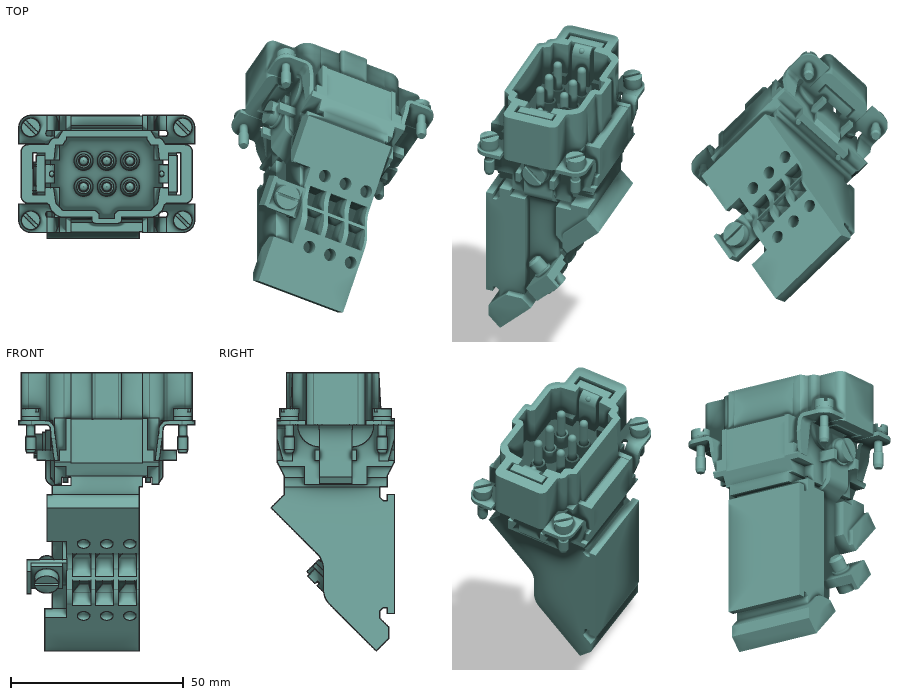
import cadquery as cq
import math

OVERLAP = 0.1
ROOT2 = math.sqrt(2)

HOOD_TOP_Z = 15.1
TOTAL_HEIGHT = 80.52
BOTTOM_Z = HOOD_TOP_Z - TOTAL_HEIGHT
BACK_Y = 17.0
FRONT_TIP_Y = -18.73

HOOD_HALF_X = 24.8
HOOD_END_Y = 8.5
HOOD_SIDE_Y = 12.5
HOOD_WALL = 1.9
HOOD_CORNER_R = 2.1
KEY_OUT_Y = -14.29
KEY_HALF_X = 4.3
KEY_CORNER_R = 0.95
KEY_IN_HALF_X = 2.3
KEY_IN_Y = -12.9
FLOOR_Z = 2.0
POCKET_X = (17.9, 21.4)
POCKET_HALF_Y = 6.05
PASSAGE_HALF_Y = 4.0
PASSAGE_IN_X = 14.5
INNER_LEDGE = (13.6, 15.6)
INNER_LEDGE_Z = 5.0

PIN_PITCH = 6.7
PIN_ROW_Y = 3.75
PIN_D = 2.5
PIN_TIP_Z = 14.8
COLLAR_D = 5.5
COLLAR_TOP_D = 4.0
COLLAR_BORE_D = 2.92
COLLAR_TOP_Z = 5.7

BODY_HALF_X = 15.05
POST_X = (10.4, 11.86)
POST_TOP_Z = 1.9
SLAB_TOP_Z = -10.3
SLAB_EDGE_Z = -10.7
SLAB_CHAMFER_Z = -14.75
SLAB_BOTTOM_Z = -15.2
NECK_Y = -14.92
PANEL_Y = (14.05, 16.8)
PANEL_TOP_Z = 1.65
RIB_X = 16.25
END_WALL_HALF_Y = 9.05
END_WALL_IN_X = 13.05
RIB_HALF_Y = 4.65
LUG_X = 20.2
LUG_TOP_Z = -7.3
END_WALL_BOTTOM_Z = -17.2
CORNER_NOTCH_Z = -12.0
STEP_LEDGE_X = 13.7
STEP_LEDGE_Z = -7.2

FLANGE_HALF_X = 25.5
FLANGE_T = 1.2
FLANGE_IN_Y = 8.7
FLANGE_BEND_X = 17.4
FLANGE_CORNER_R = 3.7
FLANGE_LEG_X = 14.0
RELIEF_Y = (10.9, 12.5)
RELIEF_X = (15.1, 17.65)

SCREW_X = 22.0
SCREW_Y = 13.45
SCREW_HEAD_D = 5.5
SCREW_HEAD_TOP_Z = 4.7
WASHER_D = 5.34
WASHER_TOP_Z = 2.4
SCREW_NECK_D = 2.45
SCREW_THREAD_D = 3.0
SCREW_TIP_D = 2.3
SLOT_W = 1.0
SLOT_DEPTH = 1.0

BLOCK_RIGHT_X = 9.44
BLOCK_LEFT_X = -11.64
COVER_LEFT_X = -15.8
NOSE_LEFT_X = -17.3
NOSE_HEEL_Y = -8.9
FOOT_LEFT_X = -18.0
BLOCK_TOP_Z = -17.5
NECK_BOTTOM_Z = -17.9
RECESS_Y = -3.56
RECESS_R = 6.0
FOOT_TIP_Y = 11.74
FOOT_BACK_Y = 15.4
FOOT_TOE_Y = 2.1
FOOT_TOP_Z = -53.15
UPPER_SUM = -42.7
LOWER_SUM = FOOT_TIP_Y + BOTTOM_Z
CHANNEL_HALF_Y = 4.9
CHANNEL_TOP_Z = -19.4
RAIL_Y = 12.8
RAIL_LIP_Y = 14.9
RAIL_TOP_Z = (-20.1, -21.9)
RAIL_LOW_Z = (-52.9, -54.6)
RAIL_SLANT_Y = 13.75
RAIL_FOOT_Z = -56.0

UPPER_FACE = -UPPER_SUM / ROOT2
LOWER_FACE = -LOWER_SUM / ROOT2
ENTRY_XS = (-7.25, -0.6, 6.05)
ENTRY_W = 5.25
UPPER_ENTRY_OUT = 25.95
LOWER_ENTRY_OUT = 32.7
THROAT_DEPTH = 3.1
SCREW_HOLE_XS = (-PIN_PITCH, 0, PIN_PITCH)
SCREW_HOLE_D = 3.6
SCREW_HOLE_DEPTH = 5.0
UPPER_HOLE_RISE = -18.5
LOWER_HOLE_RISE = -40.2

STRAP_HALF_Y = 4.4
STRAP_OUT_X = -17.7
STRAP_T = 1.5
STRAP_TOP_Z = -1.5
STRAP_LOW_X = -12.85
EARTH_SCREW_Z = -6.1
CLAMP_X = -17.37
CLAMP_LEFT_X = -23.1
CLAMP_RISE = -28.65
CLAMP_SIZE = 9.1
CLAMP_BACK = 31.0
CLAMP_FRONT = 35.9
CLAMP_PLATE_T = 1.3


def box(x0, x1, y0, y1, z0, z1):
    """Box between two limits on each axis."""
    return cq.Workplane("XY").box(x1 - x0, y1 - y0, z1 - z0, centered=False).translate((x0, y0, z0))


def both_ends(solid):
    """Solid together with its mirror image at the other X end."""
    return solid.union(solid.mirror("YZ"))


def both_sides(solid):
    """Solid together with its mirror image at the other Y side."""
    return solid.union(solid.mirror("XZ"))


def profile_x(points, x0, x1):
    """Closed (y, z) outline extruded from x0 to x1."""
    return cq.Workplane("YZ").polyline(points).close().extrude(x1 - x0).translate((x0, 0, 0))


def profile_y(points, y0, y1):
    """Closed (x, z) outline extruded from y0 to y1."""
    return cq.Workplane("XZ").polyline(points).close().extrude(y0 - y1).translate((0, y0, 0))


def tilted(out=0.0):
    """Workplane parallel to the angled faces: local x = X, local y climbs the face, normal points out."""
    plane = cq.Plane(origin=(0, 0, 0), xDir=(1, 0, 0), normal=(0, -1, -1))
    return cq.Workplane(plane).workplane(offset=out)


def tilted_box(x0, x1, rise0, rise1, out0, out1):
    """Box square to the angled faces."""
    centre = ((x0 + x1) / 2, (rise0 + rise1) / 2)
    return tilted(out0).center(*centre).rect(x1 - x0, rise1 - rise0).extrude(out1 - out0)


def hood_outline():
    """Outer outline of the hood, left half."""
    corner = HOOD_CORNER_R * (1 - 1 / ROOT2)
    flat_y = HOOD_END_Y - HOOD_CORNER_R
    flat_x = HOOD_HALF_X - HOOD_CORNER_R
    key_corner = KEY_CORNER_R * (1 - 1 / ROOT2)
    key_arc_mid = (key_corner - KEY_HALF_X, KEY_OUT_Y + key_corner)
    return (
        cq.Workplane("XY")
        .moveTo(0, HOOD_SIDE_Y)
        .lineTo(-12.8, HOOD_SIDE_Y)
        .lineTo(-13.6, 11.1)
        .lineTo(-14.1, 10.45)
        .lineTo(-15.1, 10.45)
        .threePointArc((-16.0, 10.0), (-16.6, 9.1))
        .lineTo(-17.0, HOOD_END_Y)
        .lineTo(-flat_x, HOOD_END_Y)
        .threePointArc((corner - HOOD_HALF_X, HOOD_END_Y - corner), (-HOOD_HALF_X, flat_y))
        .lineTo(-HOOD_HALF_X, -flat_y)
        .threePointArc((corner - HOOD_HALF_X, corner - HOOD_END_Y), (-flat_x, -HOOD_END_Y))
        .lineTo(-17.5, -HOOD_END_Y)
        .threePointArc((-16.9, -8.75), (-16.5, -9.4))
        .threePointArc((-15.2, -11.5), (-12.4, -HOOD_SIDE_Y))
        .lineTo(-KEY_HALF_X, -HOOD_SIDE_Y)
        .lineTo(-KEY_HALF_X, KEY_OUT_Y + KEY_CORNER_R)
        .threePointArc(key_arc_mid, (KEY_CORNER_R - KEY_HALF_X, KEY_OUT_Y))
        .lineTo(0, KEY_OUT_Y)
        .close()
    )


def side_draft():
    """Thin wedge on each long wall that thickens the hood towards the body."""
    foot_y = HOOD_SIDE_Y + 0.8
    root_y = HOOD_SIDE_Y - OVERLAP
    outline = [(root_y, 0), (foot_y, 0), (HOOD_SIDE_Y, HOOD_TOP_Z), (root_y, HOOD_TOP_Z)]
    return both_sides(profile_x(outline, -POST_X[0], POST_X[0]))


def hood_cavity():
    inner_y = HOOD_SIDE_Y - HOOD_WALL
    half = [
        (11.7, inner_y), (11.7, 9.9), (12.7, 8.4), (14.8, 8.4),
        (15.25, PASSAGE_HALF_Y), (15.4, -PASSAGE_HALF_Y), (14.7, -HOOD_END_Y), (12.7, -inner_y),
        (KEY_IN_HALF_X + 1, -inner_y), (KEY_IN_HALF_X, -inner_y - 0.9), (KEY_IN_HALF_X, KEY_IN_Y),
    ]
    outline = half + [(-x, y) for x, y in reversed(half)]
    height = HOOD_TOP_Z - FLOOR_Z
    return cq.Workplane("XY", origin=(0, 0, FLOOR_Z)).polyline(outline).close().extrude(height)


def hood():
    shell = both_ends(hood_outline().extrude(HOOD_TOP_Z)).union(side_draft())
    shell = shell.cut(hood_cavity())
    pocket = box(*POCKET_X, -POCKET_HALF_Y, POCKET_HALF_Y, -FLANGE_T, HOOD_TOP_Z)
    passage = box(PASSAGE_IN_X, POCKET_X[0], -PASSAGE_HALF_Y, PASSAGE_HALF_Y, FLOOR_Z, HOOD_TOP_Z)
    well = box(RIB_X, POCKET_X[0], -PASSAGE_HALF_Y, PASSAGE_HALF_Y, -FLANGE_T, HOOD_TOP_Z)
    shell = shell.cut(both_ends(pocket.union(passage).union(well)))
    ledge_back = box(*INNER_LEDGE, PASSAGE_HALF_Y, HOOD_END_Y, 0, INNER_LEDGE_Z)
    ledge_front = box(*INNER_LEDGE, -9.5, -PASSAGE_HALF_Y, 0, INNER_LEDGE_Z)
    return shell.union(both_ends(ledge_back.union(ledge_front)))


def latch_springs():
    """Latch plate in each end pocket with a rounded spring tongue hanging into the cavity."""
    plate_x, plate_half_y, plate_top = 20.4, 5.25, HOOD_TOP_Z - 0.3
    tongue_half_y, tongue_x, sheet, bend_r = 2.65, 15.1, 0.6, 2.6
    start_x = POCKET_X[0] - OVERLAP
    plate = box(start_x, plate_x, -plate_half_y, plate_half_y, 0, plate_top)
    tongue_top = plate_top - 0.3
    blank = box(tongue_x, start_x + 2 * OVERLAP, -tongue_half_y, tongue_half_y, 0, tongue_top)
    blank = blank.edges("|Y and >Z and <X").fillet(bend_r)
    inside = box(tongue_x + sheet, start_x, -tongue_half_y, tongue_half_y, 0, tongue_top - sheet)
    inside = inside.edges("|Y and >Z and <X").fillet(bend_r - sheet)
    dimple_r = 0.9
    bend_offset = bend_r / ROOT2
    dimple_x = tongue_x + bend_r - bend_offset
    dimple_z = tongue_top - bend_r + bend_offset
    dimple = cq.Workplane("XY").sphere(dimple_r).translate((dimple_x + 0.2, 0, dimple_z - 0.2))
    return both_ends(plate.union(blank.cut(inside)).union(dimple))


def contact_pins():
    pin = cq.Workplane("XY").circle(PIN_D / 2).extrude(PIN_TIP_Z).faces(">Z").edges().fillet(PIN_D / 2 - 0.05)
    base = cq.Workplane("XY").circle(COLLAR_D / 2).extrude(FLOOR_Z)
    cone_height = COLLAR_TOP_Z - FLOOR_Z
    cone = (
        cq.Workplane("XY", origin=(0, 0, FLOOR_Z)).circle(COLLAR_D / 2)
        .workplane(offset=cone_height).circle(COLLAR_TOP_D / 2).loft()
    )
    bore = cq.Workplane("XY", origin=(0, 0, FLOOR_Z)).circle(COLLAR_BORE_D / 2).extrude(cone_height)
    contact = base.union(cone).cut(bore).union(pin)
    pins = cq.Workplane("XY")
    for x in (-PIN_PITCH, 0, PIN_PITCH):
        for y in (-PIN_ROW_Y, PIN_ROW_Y):
            pins = pins.union(contact.translate((x, y, 0)))
    return pins


def insert_body():
    core_y = HOOD_SIDE_Y + OVERLAP / 2
    core = box(-BODY_HALF_X, BODY_HALF_X, -core_y, core_y, SLAB_TOP_Z, FLOOR_Z)
    half_slab = [
        (0, SLAB_TOP_Z), (BACK_Y, SLAB_TOP_Z), (BACK_Y, SLAB_EDGE_Z),
        (-NECK_Y, SLAB_CHAMFER_Z), (-NECK_Y, SLAB_BOTTOM_Z), (0, SLAB_BOTTOM_Z),
    ]
    slab = both_sides(profile_x(half_slab, -BODY_HALF_X, BODY_HALF_X))
    panel_relief = both_sides(box(-POST_X[0], POST_X[0], PANEL_Y[1], BACK_Y, SLAB_BOTTOM_Z, SLAB_TOP_Z))
    slab = slab.cut(panel_relief)
    notch = box(POST_X[1], BODY_HALF_X, END_WALL_HALF_Y, BACK_Y, SLAB_BOTTOM_Z, CORNER_NOTCH_Z)
    slab = slab.cut(both_ends(both_sides(notch)))
    end_wall_y = (-END_WALL_HALF_Y, END_WALL_HALF_Y)
    end_wall = box(END_WALL_IN_X, BODY_HALF_X, *end_wall_y, END_WALL_BOTTOM_Z, SLAB_TOP_Z)
    inner_wall = box(POST_X[1], END_WALL_IN_X, *end_wall_y, SLAB_BOTTOM_Z, SLAB_TOP_Z)
    post = box(*POST_X, HOOD_SIDE_Y - OVERLAP, BACK_Y, SLAB_TOP_Z, POST_TOP_Z)
    ledge = box(POST_X[1], STEP_LEDGE_X, HOOD_SIDE_Y - OVERLAP, BACK_Y, SLAB_TOP_Z, STEP_LEDGE_Z)
    stub_d, stub_length = 1.44, 1.4
    stub = cq.Workplane("XY", origin=(12.0, 8.0, SLAB_BOTTOM_Z)).circle(stub_d / 2).extrude(-stub_length)
    details = both_ends(both_sides(end_wall.union(inner_wall).union(post).union(ledge).union(stub)))
    panel = both_sides(box(-POST_X[0], POST_X[0], *PANEL_Y, SLAB_TOP_Z, PANEL_TOP_Z))
    groove_floor_z = 0.8
    groove_y = (HOOD_SIDE_Y - OVERLAP, PANEL_Y[0])
    groove_fill = both_sides(box(-POST_X[0], POST_X[0], *groove_y, SLAB_TOP_Z, groove_floor_z))
    neck = box(-POST_X[0], POST_X[0], NECK_Y, -NECK_Y, NECK_BOTTOM_Z, SLAB_BOTTOM_Z + OVERLAP)
    body = core.union(slab).union(details).union(panel).union(groove_fill).union(neck)
    return body.union(end_ribs()).union(end_lugs())


def end_ribs():
    """Raised central rib on each end wall and the half-round plate above it."""
    chamfer_x, chamfer_z = RIB_X - BODY_HALF_X, 1.8
    bottom_z = END_WALL_BOTTOM_Z + 0.3
    rib = profile_y(
        [(BODY_HALF_X - OVERLAP, 0), (RIB_X, 0), (RIB_X, bottom_z + chamfer_z),
         (RIB_X - chamfer_x, bottom_z), (BODY_HALF_X - OVERLAP, bottom_z)],
        -RIB_HALF_Y, RIB_HALF_Y)
    arc_r = 6.35
    top_y = RIB_HALF_Y + arc_r
    bend = arc_r / ROOT2
    plate = (
        cq.Workplane("YZ", origin=(BODY_HALF_X - OVERLAP, 0, 0))
        .moveTo(-top_y, FLANGE_T).lineTo(top_y, FLANGE_T).lineTo(top_y, 0)
        .threePointArc((RIB_HALF_Y + bend, -bend), (RIB_HALF_Y, -arc_r))
        .lineTo(-RIB_HALF_Y, -arc_r)
        .threePointArc((-RIB_HALF_Y - bend, -bend), (-top_y, 0))
        .close().extrude(RIB_X - BODY_HALF_X)
    )
    bridge_half_y, bridge_z = 4.9, -1.4
    bridge = box(BODY_HALF_X - OVERLAP, RIB_X, -bridge_half_y, bridge_half_y, bridge_z, OVERLAP)
    return both_ends(rib.union(plate).union(bridge))


def end_lugs():
    lug = box(BODY_HALF_X - OVERLAP, LUG_X, RIB_HALF_Y, POCKET_HALF_Y, SLAB_TOP_Z, LUG_TOP_Z)
    return both_ends(both_sides(lug))


def flange():
    """One corner flange with its sloping leg, at the +X +Y corner."""
    plate = box(FLANGE_BEND_X - OVERLAP, FLANGE_HALF_X, FLANGE_IN_Y, BACK_Y, 0, FLANGE_T)
    plate = plate.edges("|Z and >X and >Y").fillet(FLANGE_CORNER_R)
    foot_z = SLAB_TOP_Z - OVERLAP
    leg = (
        cq.Workplane("XZ", origin=(0, RELIEF_Y[1], 0))
        .moveTo(FLANGE_BEND_X, 0).lineTo(FLANGE_BEND_X, FLANGE_T)
        .threePointArc((16.1, 0.75), (15.2, -0.6))
        .lineTo(FLANGE_LEG_X, foot_z).lineTo(FLANGE_LEG_X + FLANGE_T, foot_z).lineTo(16.4, -1.0)
        .threePointArc((16.8, -0.25), (FLANGE_BEND_X, 0))
        .close().extrude(RELIEF_Y[1] - BACK_Y)
    )
    taper = profile_x([(BACK_Y, -4), (BACK_Y, foot_z), (15.2, foot_z)], FLANGE_LEG_X, FLANGE_HALF_X)
    tab = box(BODY_HALF_X, FLANGE_BEND_X, FLANGE_IN_Y, RELIEF_Y[0], 0, FLANGE_T)
    relief_mid = (RELIEF_Y[0] + RELIEF_Y[1]) / 2
    relief_w = RELIEF_Y[1] - RELIEF_Y[0]
    relief_len = 2 * (RELIEF_X[1] - RELIEF_X[0])
    relief = (
        cq.Workplane("XY", origin=(RELIEF_X[0], relief_mid, 0)).slot2D(relief_len, relief_w).extrude(FLANGE_T)
    )
    return plate.union(leg.cut(taper)).union(tab).cut(relief)


def flange_screw():
    """Slotted captive screw; its slot runs across at 45 degrees."""
    neck_end, thread_start, thread_end, tip_z = -3.2, -3.5, -7.1, -8.1
    outline = [
        (0, SCREW_HEAD_TOP_Z), (SCREW_HEAD_D / 2, SCREW_HEAD_TOP_Z), (SCREW_HEAD_D / 2, WASHER_TOP_Z),
        (WASHER_D / 2, WASHER_TOP_Z), (WASHER_D / 2, FLANGE_T),
        (SCREW_NECK_D / 2, FLANGE_T), (SCREW_NECK_D / 2, neck_end), (SCREW_THREAD_D / 2, thread_start),
        (SCREW_THREAD_D / 2, thread_end), (SCREW_TIP_D / 2, tip_z), (0, tip_z),
    ]
    screw = cq.Workplane("XZ").polyline(outline).close().revolve(360, (0, 0, 0), (0, 1, 0))
    slot = cq.Workplane("XY", origin=(0, 0, SCREW_HEAD_TOP_Z - SLOT_DEPTH / 2))
    slot = slot.box(2 * SCREW_HEAD_D, SLOT_W, SLOT_DEPTH).rotate((0, 0, 0), (0, 0, 1), -45)
    return screw.cut(slot)


def mounting_frame():
    frame = both_ends(both_sides(flange()))
    screw = flange_screw()
    for x in (-SCREW_X, SCREW_X):
        for y in (-SCREW_Y, SCREW_Y):
            frame = frame.union(screw.translate((x, y, 0)))
    return frame


NOSE_TOP_Z = UPPER_SUM - FRONT_TIP_Y + (NECK_Y - FRONT_TIP_Y)
FOOT_OUTLINE = [
    (FOOT_TOE_Y, LOWER_SUM - FOOT_TOE_Y), (CHANNEL_HALF_Y, FOOT_TOP_Z), (9.83, FOOT_TOP_Z),
    (FOOT_BACK_Y, -58.5), (FOOT_BACK_Y, BOTTOM_Z + FOOT_BACK_Y - FOOT_TIP_Y), (FOOT_TIP_Y, BOTTOM_Z),
]
RAIL_OUTLINE = [
    (RAIL_Y, BLOCK_TOP_Z), (RAIL_Y, -21.0), (RAIL_SLANT_Y, RAIL_TOP_Z[1]), (RAIL_LIP_Y, RAIL_TOP_Z[1]),
    (RAIL_LIP_Y, RAIL_TOP_Z[0]), (BACK_Y, RAIL_TOP_Z[0]), (BACK_Y, RAIL_LOW_Z[1]),
    (RAIL_LIP_Y, RAIL_LOW_Z[1]), (RAIL_LIP_Y, RAIL_LOW_Z[0]), (RAIL_SLANT_Y, RAIL_LOW_Z[0]), (RAIL_Y, -53.8),
]


def terminal_block():
    outline = RAIL_OUTLINE + [(RAIL_Y, RAIL_FOOT_Z)] + FOOT_OUTLINE[3:] + [
        (RECESS_Y, LOWER_SUM - RECESS_Y), (RECESS_Y, UPPER_SUM - RECESS_Y),
        (FRONT_TIP_Y, UPPER_SUM - FRONT_TIP_Y), (NECK_Y, NOSE_TOP_Z), (NECK_Y, BLOCK_TOP_Z),
    ]
    block = profile_x(outline, BLOCK_LEFT_X, BLOCK_RIGHT_X)
    recess_edges = cq.selectors.BoxSelector(
        (BLOCK_LEFT_X, RECESS_Y - 0.1, LOWER_SUM - RECESS_Y - 1),
        (BLOCK_RIGHT_X, RECESS_Y + 0.1, UPPER_SUM - RECESS_Y + 1))
    block = block.edges("|X").edges(recess_edges).fillet(RECESS_R)
    return block.cut(wire_entries()).cut(screw_holes())


def wire_entry(x, rise, depth_out, throat_out):
    """Rectangular mouth at local x that narrows to a smaller throat."""
    mouth_out, throat_w, throat_h = 40.0, 2.7, 4.5
    throat_shift = (0.7, -0.6)
    height = rise[1] - rise[0]
    mouth = tilted_box(x - ENTRY_W / 2, x + ENTRY_W / 2, *rise, depth_out, mouth_out)
    funnel = (
        tilted(depth_out).center(x, (rise[0] + rise[1]) / 2).rect(ENTRY_W, height)
        .workplane(offset=throat_out - depth_out).center(*throat_shift).rect(throat_w, throat_h).loft()
    )
    return mouth.union(funnel)


def wire_entries():
    upper_rise = (-28.5, -22.6)
    lower_rise = (-35.9, -29.4)
    cuts = cq.Workplane("XY")
    for x in ENTRY_XS:
        cuts = cuts.union(wire_entry(x, upper_rise, UPPER_ENTRY_OUT, UPPER_ENTRY_OUT - THROAT_DEPTH))
        cuts = cuts.union(wire_entry(x, lower_rise, LOWER_ENTRY_OUT, LOWER_ENTRY_OUT - THROAT_DEPTH))
    return cuts


def screw_holes():
    upper = [(x, UPPER_HOLE_RISE) for x in SCREW_HOLE_XS]
    lower = [(x, LOWER_HOLE_RISE) for x in SCREW_HOLE_XS]
    radius = SCREW_HOLE_D / 2
    upper_holes = tilted(UPPER_FACE).pushPoints(upper).circle(radius).extrude(-SCREW_HOLE_DEPTH)
    lower_holes = tilted(LOWER_FACE).pushPoints(lower).circle(radius).extrude(-SCREW_HOLE_DEPTH)
    return upper_holes.union(lower_holes)


def side_cover():
    """Left side of the block: rail half, front half, and the wider nose and foot."""
    inner_x = BLOCK_LEFT_X + OVERLAP
    rail = RAIL_OUTLINE + [
        (RAIL_Y, RAIL_FOOT_Z), (CHANNEL_HALF_Y, RAIL_FOOT_Z), (CHANNEL_HALF_Y, BLOCK_TOP_Z),
    ]
    front = [
        (-CHANNEL_HALF_Y, BLOCK_TOP_Z), (-CHANNEL_HALF_Y, -29.6), (NOSE_HEEL_Y, UPPER_SUM - NOSE_HEEL_Y),
        (FRONT_TIP_Y, UPPER_SUM - FRONT_TIP_Y), (NECK_Y, NOSE_TOP_Z), (NECK_Y, BLOCK_TOP_Z),
    ]
    nose_back_y = -7.5
    nose = [
        (NECK_Y, NOSE_TOP_Z), (FRONT_TIP_Y, UPPER_SUM - FRONT_TIP_Y), (NOSE_HEEL_Y, UPPER_SUM - NOSE_HEEL_Y),
        (nose_back_y, -32.2), (nose_back_y, -27.7),
    ]
    cover = profile_x(rail, COVER_LEFT_X, inner_x).union(profile_x(front, COVER_LEFT_X, inner_x))
    top_step_half_y = 9.5
    step = box(COVER_LEFT_X, inner_x, -top_step_half_y, top_step_half_y, CHANNEL_TOP_Z, BLOCK_TOP_Z)
    cover = cover.cut(step)
    cover = cover.union(profile_x(nose, NOSE_LEFT_X, inner_x))
    return cover.union(profile_x(FOOT_OUTLINE, FOOT_LEFT_X, inner_x))


def earth_strap():
    """Strip down the left end that cranks inwards into the channel; its foot is trimmed to the clamp."""
    inner_x = STRAP_OUT_X + STRAP_T
    low_inner_x = BLOCK_LEFT_X + OVERLAP
    bend_z, low_bend_z, foot_z = -16.25, -19.85, -49.0
    inner_rise, low_inner_rise = 0.75, 0.6
    outer_bend_r, low_bend_r = 2.5, 1.4
    outline = [
        (STRAP_OUT_X, STRAP_TOP_Z), (STRAP_OUT_X, bend_z), (STRAP_LOW_X, low_bend_z), (STRAP_LOW_X, foot_z),
        (low_inner_x, foot_z), (low_inner_x, low_bend_z + low_inner_rise), (inner_x, bend_z + inner_rise),
        (inner_x, STRAP_TOP_Z),
    ]
    strap = profile_y(outline, -STRAP_HALF_Y, STRAP_HALF_Y)
    strap = strap.edges(cq.selectors.NearestToPointSelector((STRAP_OUT_X, 0, bend_z))).fillet(outer_bend_r)
    strap = strap.edges(cq.selectors.NearestToPointSelector((STRAP_LOW_X, 0, low_bend_z))).fillet(low_bend_r)
    low = CLAMP_RISE - CLAMP_SIZE / 2
    high = CLAMP_RISE + CLAMP_SIZE / 2
    below = tilted_box(COVER_LEFT_X, low_inner_x, low - CLAMP_SIZE, low, 0, 2 * CLAMP_FRONT)
    plate_front = CLAMP_BACK + CLAMP_PLATE_T
    ahead = tilted_box(COVER_LEFT_X, low_inner_x, low - CLAMP_SIZE, high, plate_front, 2 * CLAMP_FRONT)
    return strap.cut(below).cut(ahead)


def earth_screw():
    washer_d, head_d, washer_t, head_x, slot_w = 8.0, 7.0, 1.0, -21.1, 0.9
    start_x = STRAP_OUT_X + OVERLAP
    washer = cq.Workplane("YZ", origin=(start_x, 0, EARTH_SCREW_Z)).circle(washer_d / 2).extrude(-washer_t)
    head = cq.Workplane("YZ", origin=(start_x, 0, EARTH_SCREW_Z)).circle(head_d / 2).extrude(head_x - start_x)
    slot = cq.Workplane("XY").box(2 * SLOT_DEPTH, 2 * head_d, slot_w).rotate((0, 0, 0), (1, 0, 0), 45)
    return washer.union(head).cut(slot.translate((head_x, 0, EARTH_SCREW_Z)))


def earth_clamp():
    """Angle-shaped clamp square to the angled faces, with square washer and slotted screw."""
    low = CLAMP_RISE - CLAMP_SIZE / 2
    high = CLAMP_RISE + CLAMP_SIZE / 2
    wall_t = 1.2
    washer_front, head_front, shank_back = 33.7, 36.7, 26.3
    head_d, shank_d, collar_d, slot_w = 7.0, 4.35, 5.34, 0.8
    collar_t, shank_chamfer, washer_setback = 0.7, 0.7, 0.1
    right_x = BLOCK_LEFT_X + OVERLAP
    clamp = tilted_box(CLAMP_LEFT_X, right_x, low, high, CLAMP_BACK, CLAMP_BACK + CLAMP_PLATE_T)
    clamp = clamp.union(tilted_box(CLAMP_LEFT_X, CLAMP_LEFT_X + wall_t, low, high, CLAMP_BACK, CLAMP_FRONT))
    washer_x = (CLAMP_LEFT_X + wall_t, STRAP_LOW_X)
    clamp = clamp.union(tilted_box(*washer_x, low, high - washer_setback, CLAMP_BACK, washer_front))
    axis = (CLAMP_X, CLAMP_RISE)
    head = tilted(washer_front).center(*axis).circle(head_d / 2).extrude(head_front - washer_front)
    slot = tilted_box(CLAMP_X - head_d, CLAMP_X + head_d, CLAMP_RISE - slot_w / 2, CLAMP_RISE + slot_w / 2,
                      head_front - SLOT_DEPTH, head_front)
    shank = tilted(CLAMP_BACK).center(*axis).circle(shank_d / 2).extrude(shank_back - CLAMP_BACK)
    shank = shank.faces(">Z").chamfer(shank_chamfer)
    collar = tilted(CLAMP_BACK).center(*axis).circle(collar_d / 2).extrude(-collar_t)
    return clamp.union(head.cut(slot)).union(shank).union(collar)


result = hood()
for component in (
    insert_body(), latch_springs(), contact_pins(), mounting_frame(),
    terminal_block(), side_cover(), earth_strap(), earth_screw(), earth_clamp(),
):
    result = result.union(component)